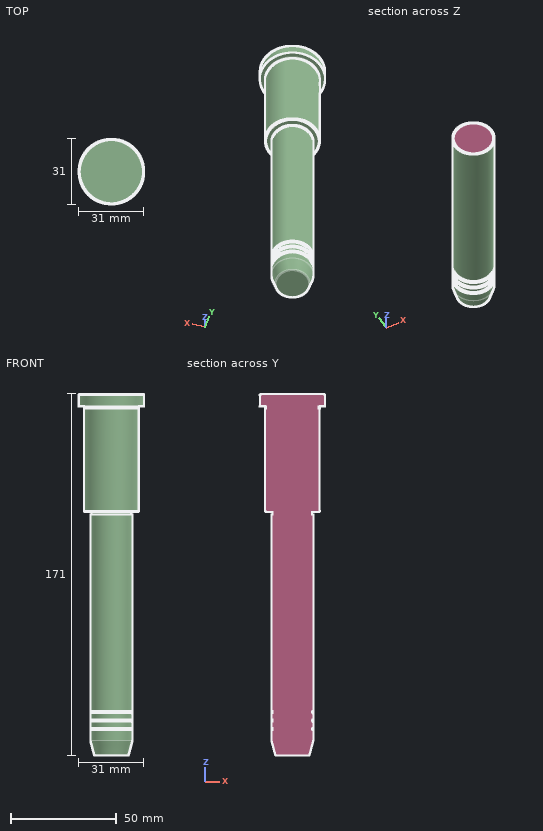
import cadquery as cq
import math

total_length = 171.0
head_thickness = 6.0
sleeve_end_depth = 56.0

head_radius = 31.0 / 2
sleeve_radius = 26.0 / 2
shank_radius = 20.0 / 2

head_chamfer = 0.5
sleeve_chamfer = 0.5

groove_width = 1.0
groove_depth = 0.5
groove_fillet = 0.49

ring_groove_count = 3
ring_groove_pitch = 4.0
lowest_ring_groove = 12.0

taper_height = 7.0
taper_angle = 15.0
tip_fillet = 0.5

head_bottom = total_length - head_thickness
sleeve_bottom = total_length - sleeve_end_depth
tip_radius = shank_radius - taper_height * math.tan(math.radians(taper_angle))


def cylinder(radius, bottom, top):
    """Solid cylinder on the Z axis between two heights."""
    return cq.Workplane("XY").workplane(offset=bottom).circle(radius).extrude(top - bottom)


def square_groove(outer_radius, bottom):
    """Ring cutter with square inner corners."""
    ring = cylinder(outer_radius, bottom, bottom + groove_width)
    core = cylinder(outer_radius - groove_depth, bottom, bottom + groove_width)
    return ring.cut(core)


def rounded_groove(outer_radius, bottom):
    """Ring cutter with rounded inner corners, close to a half-round section."""
    top = bottom + groove_width
    floor_radius = outer_radius - groove_depth
    fillet_start = floor_radius + groove_fillet
    return (
        cq.Workplane("XZ")
        .moveTo(outer_radius, bottom)
        .lineTo(fillet_start, bottom)
        .radiusArc((floor_radius, bottom + groove_fillet), groove_fillet)
        .lineTo(floor_radius, top - groove_fillet)
        .radiusArc((fillet_start, top), groove_fillet)
        .lineTo(outer_radius, top)
        .close()
        .revolve(360, (0, 0, 0), (0, 1, 0))
    )


def make_head():
    """Top flange with a chamfered upper rim."""
    blank = cylinder(head_radius, head_bottom, total_length)
    return blank.faces(">Z").edges().chamfer(head_chamfer)


def make_sleeve():
    """Thick section below the head with a chamfered lower rim."""
    blank = cylinder(sleeve_radius, sleeve_bottom, head_bottom)
    return blank.faces("<Z").edges().chamfer(sleeve_chamfer)


def make_tip():
    """Tapered lead-in with a rounded lower edge."""
    cone = (
        cq.Workplane("XY")
        .circle(tip_radius)
        .workplane(offset=taper_height)
        .circle(shank_radius)
        .loft(ruled=True)
    )
    return cone.faces("<Z").edges().fillet(tip_fillet)


shank = cylinder(shank_radius, taper_height, sleeve_bottom)
pin = make_head().union(make_sleeve()).union(shank).union(make_tip())

pin = pin.cut(rounded_groove(sleeve_radius, head_bottom - groove_width))
pin = pin.cut(square_groove(shank_radius, sleeve_bottom - groove_width))

for index in range(ring_groove_count):
    groove_bottom = lowest_ring_groove + index * ring_groove_pitch
    pin = pin.cut(rounded_groove(shank_radius, groove_bottom))

result = pin